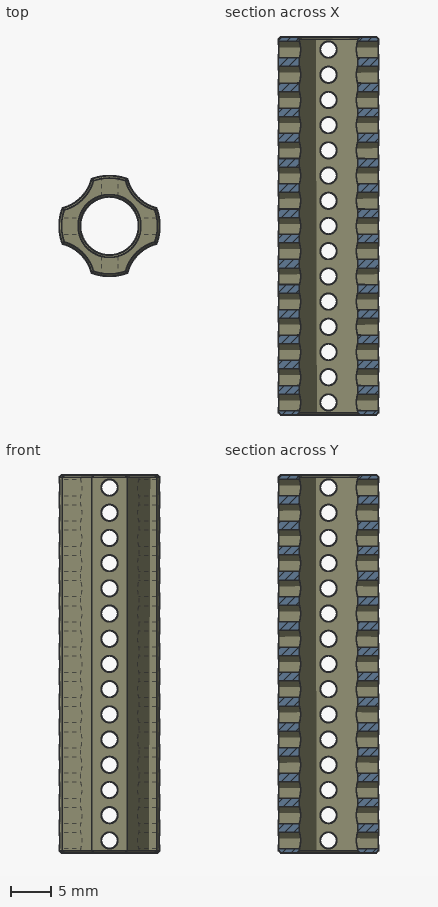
import cadquery as cq

outer_diameter = 12.5
bore_diameter = 7.2
hole_diameter = 2.0
hole_pitch = 3.125
holes_per_row = 15
flute_count = 4
flute_radius = 5.0
flute_depth = 1.25
edge_chamfer = 0.3

length = holes_per_row * hole_pitch
flute_center_radius = outer_diameter / 2 - flute_depth + flute_radius
flute_step = 360 / flute_count


def flutes():
    """Concave cutters running the full length, midway between the X and Y axes."""
    return (
        cq.Workplane("XY")
        .polarArray(flute_center_radius, flute_step / 2, 360, flute_count)
        .circle(flute_radius)
        .extrude(length)
    )


def hole_row(direction):
    """A column of evenly spaced holes crossing the whole tube along one direction."""
    row = cq.Workplane("XY")
    for index in range(holes_per_row):
        height = (index + 0.5) * hole_pitch
        start = cq.Vector(0, 0, height) - direction * (outer_diameter / 2)
        row = row.add(cq.Solid.makeCylinder(hole_diameter / 2, outer_diameter, start, direction))
    return row.combine()


tube = (
    cq.Workplane("XY")
    .circle(outer_diameter / 2)
    .circle(bore_diameter / 2)
    .extrude(length)
    .cut(flutes())
    .faces("<Z or >Z")
    .edges()
    .chamfer(edge_chamfer)
)

result = tube.cut(hole_row(cq.Vector(1, 0, 0))).cut(hole_row(cq.Vector(0, 1, 0)))